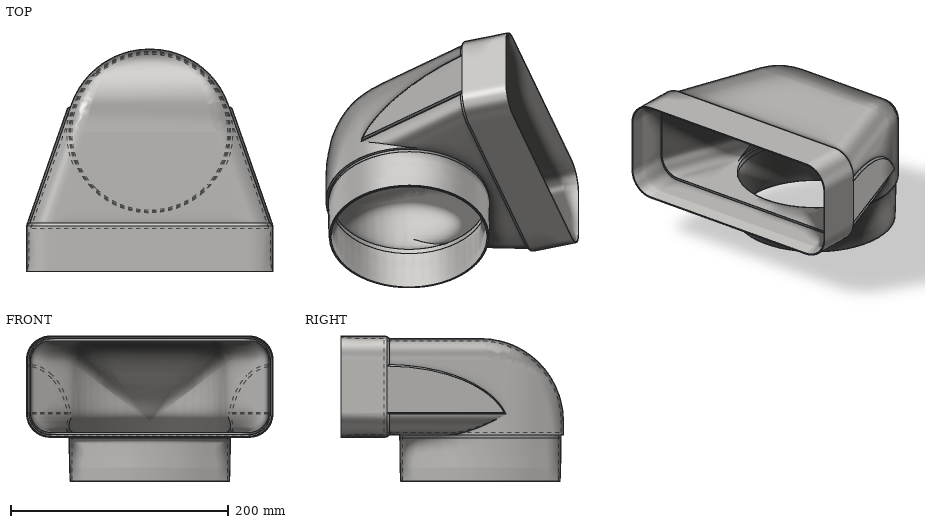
import cadquery as cq
import math


TOTAL_LENGTH = 205.0
TOTAL_HEIGHT = 134.0

COLLAR_WIDTH = 227.0
COLLAR_HEIGHT = 93.3
COLLAR_CORNER = 22.0
COLLAR_WALL = 2.4
MOUTH_WALL = 1.0
COLLAR_LENGTH = 39.8
SHOULDER_LENGTH = 2.4
SHOULDER_DROP = 0.3
STEP_LENGTH = 2.6
COLLAR_STEP = 2.3

LEAD_IN_LENGTH = 12.7

DUCT_WALL = 2.2
BEND_RADIUS = 76.6

PAD_TAPER = 35.0
PAD_ARCH_LENGTH = 113.0
PAD_ARCH_RISE = 60.0
PAD_ARCH_TOP = 107.8
PAD_OVERLAP = 0.7

SPIGOT_LENGTH = 40.1
SPIGOT_ROOT_RADIUS = 74.3
SPIGOT_LEAD_IN_RADIUS = 74.0
SPIGOT_TIP_RADIUS = 73.5
SPIGOT_BORE_RADIUS = 71.8
SPIGOT_TIP_CHAMFER = 0.5

SHOULDER_Y = COLLAR_LENGTH + SHOULDER_LENGTH
DUCT_FRONT_Y = SHOULDER_Y + STEP_LENGTH
COLLAR_MIDDLE = TOTAL_HEIGHT - COLLAR_HEIGHT / 2
DUCT_CORNER = COLLAR_CORNER - COLLAR_STEP
DUCT_TOP = TOTAL_HEIGHT - COLLAR_STEP
DUCT_BOTTOM = TOTAL_HEIGHT - COLLAR_HEIGHT + COLLAR_STEP
BEND_Y = TOTAL_LENGTH - BEND_RADIUS
BEND_Z = DUCT_TOP - BEND_RADIUS

SHOULDER_HALF_WIDTH = COLLAR_WIDTH / 2 - COLLAR_STEP
SHOULDER_TO_BEND = BEND_Y - SHOULDER_Y
WALL_ANGLE = math.atan2(SHOULDER_HALF_WIDTH, SHOULDER_TO_BEND) - math.asin(
    BEND_RADIUS / math.hypot(SHOULDER_HALF_WIDTH, SHOULDER_TO_BEND)
)
WALL_COS = math.cos(WALL_ANGLE)
WALL_SIN = math.sin(WALL_ANGLE)
TANGENT_X = BEND_RADIUS * WALL_COS
TANGENT_Y = BEND_Y + BEND_RADIUS * WALL_SIN


def half_width(y, inset=0.0):
    """Half the duct width at depth y, with the side walls moved inward by inset."""
    return SHOULDER_HALF_WIDTH - (y - SHOULDER_Y) * math.tan(WALL_ANGLE) - inset / WALL_COS


def bent_duct(inset, front):
    """Filled duct and bend, starting at depth front, with the skin moved inward by inset."""
    radius = BEND_RADIUS - inset
    corner = DUCT_CORNER - inset
    top = DUCT_TOP - inset
    bottom = DUCT_BOTTOM + inset
    rear = BEND_Y + radius * WALL_SIN
    front_x = half_width(front, inset)
    rear_x = half_width(rear, inset)
    floor = cq.Workplane("XY", origin=(0, 0, bottom))

    tapered = (
        floor.moveTo(-front_x, front)
        .lineTo(front_x, front)
        .lineTo(rear_x, rear)
        .lineTo(-rear_x, rear)
        .close()
        .extrude(top - bottom)
        .faces("<Z")
        .edges("not |X")
        .fillet(corner)
    )
    round_rear = floor.center(0, BEND_Y).circle(radius).extrude(top - bottom)
    side_profile = (
        cq.Workplane("YZ")
        .moveTo(front, bottom)
        .lineTo(front, top)
        .lineTo(BEND_Y, top)
        .radiusArc((BEND_Y + radius, BEND_Z), radius)
        .lineTo(BEND_Y + radius, bottom)
        .close()
        .extrude(COLLAR_WIDTH / 2, both=True)
    )
    duct = tapered.union(round_rear).intersect(side_profile)

    upper_half = cq.selectors.BoxSelector(
        (-COLLAR_WIDTH, DUCT_FRONT_Y, COLLAR_MIDDLE),
        (COLLAR_WIDTH, TOTAL_LENGTH, TOTAL_HEIGHT),
    )
    return duct.edges(upper_half).edges("not (|X or |Z)").fillet(corner)


def collar_section(y, inset, narrowing=0.0):
    """Rounded outline at depth y, inset from the collar outline, with its sides further in."""
    return (
        cq.Sketch()
        .rect(COLLAR_WIDTH - 2 * (inset + narrowing), COLLAR_HEIGHT - 2 * inset)
        .vertices()
        .fillet(COLLAR_CORNER - inset)
        .moved(cq.Location(cq.Vector(0, 0, -y)))
    )


def collar_block(rear_section, front_section):
    """Filled block between two collar sections."""
    return (
        cq.Workplane("XZ", origin=(0, 0, COLLAR_MIDDLE))
        .placeSketch(rear_section, front_section)
        .loft()
    )


def outer_collar():
    """Straight collar with its shoulder and the slope down to the duct, filled."""
    duct_narrowing = STEP_LENGTH * math.tan(WALL_ANGLE)
    duct_end = collar_section(DUCT_FRONT_Y, COLLAR_STEP, duct_narrowing)
    shoulder = collar_section(SHOULDER_Y, SHOULDER_DROP, -SHOULDER_DROP)
    straight_end = collar_section(COLLAR_LENGTH, 0)
    mouth = collar_section(0, 0)
    return (
        collar_block(straight_end, mouth)
        .union(collar_block(shoulder, straight_end))
        .union(collar_block(duct_end, shoulder))
    )


def collar_socket():
    """Inside of the collar, flaring toward the mouth."""
    socket_end = collar_section(COLLAR_LENGTH, COLLAR_WALL)
    flare_start = collar_section(LEAD_IN_LENGTH, COLLAR_WALL)
    mouth = collar_section(0, MOUTH_WALL)
    return collar_block(socket_end, flare_start).union(collar_block(flare_start, mouth))


def side_pad():
    """Raised pad with an arched top on the +X side wall, standing out flush with the collar."""
    rise = COLLAR_STEP * WALL_COS
    bottom = DUCT_BOTTOM + DUCT_CORNER - PAD_OVERLAP
    arch_length = PAD_ARCH_LENGTH / WALL_COS
    start_angle = math.asin((bottom - PAD_ARCH_TOP + PAD_ARCH_RISE) / PAD_ARCH_RISE)
    front = (SHOULDER_Y - TANGENT_Y) / WALL_COS
    rear = front + arch_length * math.cos(start_angle)
    trimmed_front = front - 2 * COLLAR_STEP
    wall = cq.Plane(
        origin=(TANGENT_X, TANGENT_Y, 0),
        xDir=(-WALL_SIN, WALL_COS, 0),
        normal=(WALL_COS, WALL_SIN, 0),
    )
    pad = (
        cq.Workplane(wall)
        .moveTo(rear, bottom)
        .ellipseArc(arch_length, PAD_ARCH_RISE, math.degrees(start_angle), 90)
        .lineTo(trimmed_front, PAD_ARCH_TOP)
        .lineTo(trimmed_front, bottom)
        .close()
        .extrude(rise, taper=PAD_TAPER)
    )
    behind_shoulder = cq.Workplane("XY", origin=(0, SHOULDER_Y, 0)).box(
        COLLAR_WIDTH, TOTAL_LENGTH, TOTAL_HEIGHT, centered=(True, False, False)
    )
    return pad.intersect(behind_shoulder)


def neck(radius):
    """Round stub under the bend, from the top of the spigot through the duct floor."""
    return (
        cq.Workplane("XY", origin=(0, BEND_Y, SPIGOT_LENGTH))
        .circle(radius)
        .extrude(DUCT_BOTTOM + DUCT_WALL - SPIGOT_LENGTH)
    )


def make_housing():
    """Hollow collar, duct and bend, with a short neck that meets the spigot."""
    pad = side_pad()
    outside = (
        bent_duct(0, SHOULDER_Y)
        .union(outer_collar())
        .union(pad)
        .union(pad.mirror("YZ"))
        .union(neck(SPIGOT_ROOT_RADIUS))
    )
    return (
        outside.cut(bent_duct(DUCT_WALL, COLLAR_LENGTH))
        .cut(collar_socket())
        .cut(neck(SPIGOT_BORE_RADIUS))
        .solids()
    )


def make_spigot():
    """Round tube below the bend, slightly tapered, with a steeper lead-in at its tip."""
    return (
        cq.Workplane("XZ", origin=(0, BEND_Y, 0))
        .moveTo(SPIGOT_BORE_RADIUS, 0)
        .lineTo(SPIGOT_TIP_RADIUS - SPIGOT_TIP_CHAMFER, 0)
        .lineTo(SPIGOT_TIP_RADIUS, SPIGOT_TIP_CHAMFER)
        .lineTo(SPIGOT_LEAD_IN_RADIUS, LEAD_IN_LENGTH)
        .lineTo(SPIGOT_ROOT_RADIUS, SPIGOT_LENGTH)
        .lineTo(SPIGOT_BORE_RADIUS, SPIGOT_LENGTH)
        .close()
        .revolve(360, (0, 0, 0), (0, 1, 0))
    )


housing = make_housing()
spigot = make_spigot()
result = cq.Compound.makeCompound([housing.val(), spigot.val()])